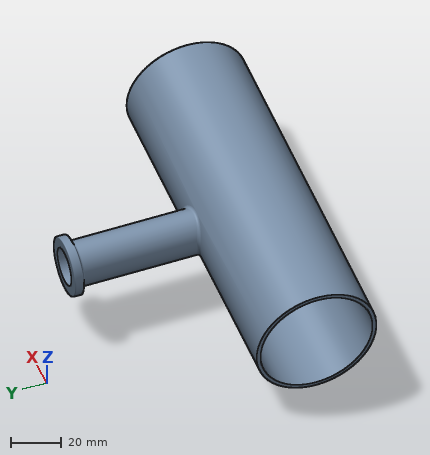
import cadquery as cq
import math

pipe_length = 146.0
pipe_diameter = 50.8
pipe_bore = 47.5

branch_diameter = 19.0
branch_bore = 15.8
branch_end = 79.3
weld_radius = 1.3

ferrule_diameter = 25.0
rim_thickness = 3.7
rim_rounding = 0.5
taper_angle = 20.0
neck_rounding = 0.7
neck_length = 7.5


def branch_cylinder(diameter):
    """Solid cylinder from the main pipe axis to the ferrule face."""
    return cq.Workplane("XZ").circle(diameter / 2).extrude(-branch_end)


def clamp_ferrule():
    """Ring with a rounded rim, a tapered clamping face and a rounded neck."""
    rim_radius = ferrule_diameter / 2
    neck_radius = branch_diameter / 2
    rim_back = branch_end - rim_thickness
    taper_length = (rim_radius - neck_radius) * math.tan(math.radians(taper_angle))
    neck_start = rim_back - taper_length
    profile = (
        cq.Workplane("XY")
        .moveTo(0, branch_end)
        .lineTo(rim_radius, branch_end)
        .lineTo(rim_radius, rim_back)
        .lineTo(neck_radius, neck_start)
        .lineTo(neck_radius, neck_start - neck_length)
        .lineTo(0, neck_start - neck_length)
        .close()
    )
    ferrule = profile.revolve(360, (0, 0, 0), (0, 1, 0))
    rim_edges = cq.selectors.RadiusNthSelector(-1)
    ferrule = ferrule.edges(rim_edges).fillet(rim_rounding)
    neck_edge = cq.selectors.BoxSelector(
        (-rim_radius, neck_start - neck_length / 2, -rim_radius),
        (rim_radius, neck_start + taper_length / 2, rim_radius),
    )
    return ferrule.edges("%CIRCLE").edges(neck_edge).fillet(neck_rounding)


def pipe_cylinder(diameter):
    """Solid cylinder over the full length of the main pipe."""
    return cq.Workplane("YZ").circle(diameter / 2).extrude(pipe_length / 2, both=True)


body = pipe_cylinder(pipe_diameter).union(branch_cylinder(branch_diameter))
joint_box = cq.selectors.BoxSelector(
    (-branch_diameter, 1.5, -branch_diameter),
    (branch_diameter, pipe_diameter / 2 + 1.5, branch_diameter),
    boundingbox=True,
)
body = body.edges(joint_box).fillet(weld_radius)

body = body.union(clamp_ferrule())

result = body.cut(pipe_cylinder(pipe_bore)).cut(branch_cylinder(branch_bore))